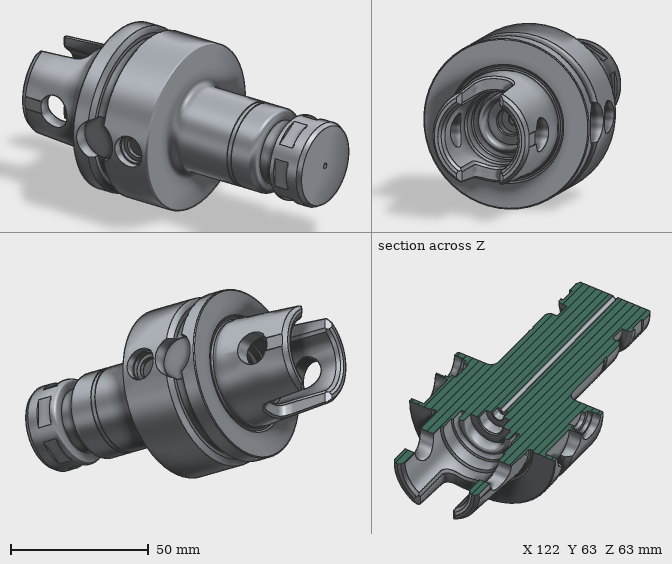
import cadquery as cq
import math

total_length = 122.0

tip_radius = 17.3
taper_start_radius = 18.4
taper_end_radius = 20.1
tip_chamfer_length = 2.0
taper_end_x = 30.4
relief_radius = 19.9
relief_start_x = 31.4
relief_flare_radius = 20.5

flange_radius = 63.0 / 2
flange_front_x = 32.1
flange_back_x = 65.0
flange_front_chamfer = 0.4
flange_back_round = 0.7
face_recess_outer_radius = 22.0
face_recess_depth = 0.7

groove_center_x = 41.8
groove_floor_radius = 27.7
groove_floor_width = 4.0
groove_rim_width = 7.0
groove_wall_top_radius = 29.3

body_radius = 32.0 / 2
body_fillet = 3.3
band_start_x = 89.5
band_width = 1.8
band_depth = 0.2
body_end_x = 101.5
body_end_round = 2.2

neck_radius = 24.0 / 2
nut_start_x = 107.8
nut_start_round = 1.5
nut_end_chamfer_length = 1.7
nut_end_chamfer_height = 1.0
spanner_flat_count = 6
spanner_flat_distance = 15.0
spanner_flat_start_x = 110.3
spanner_flat_length = 5.7

bore_mouth_radius = 32.0 / 2
bore_lip_radius = 14.9
bore_lip_x = 0.6
bore_radius = 13.9
bore_start_x = 2.0
bore_step_x = 25.7
bore_step_length = 0.6
bore_inner_radius = 13.0
bore_end_x = 31.7
bore_end_chamfer_length = 0.5
bore_end_radius = 12.5
pocket_floor_x = 37.8

tube_outer_radius = 11.1
tube_inner_radius = 8.7
tube_end_x = 33.0

socket_mouth_radius = 11 / 2
socket_radius = 10.0 / 2
socket_depth = 4.9
coolant_mouth_radius = 5.0 / 2
coolant_step_radius = 4.5 / 2
coolant_step_depth = 3.7
coolant_radius = 2.0 / 2

slot_half_width = 7.2
slot_end_x = 20.3
slot_corner_radius = 3.9
slot_mouth_chamfer = 1.7
slot_outer_chamfer = 0.7
slot_inner_chamfer = 0.9

cross_hole_diameter = 12.5
cross_hole_x = 15.0
keyway_width = 4.9
keyway_floor_y = 18.24

round_flat_diameter = 16.0
round_flat_floor_y = 26.2
side_hole_x = 56.7
side_hole_diameter = 12.0
side_hole_floor_y = 28.0
side_hole_step_diameter = 11.0
side_hole_step_floor_y = 26.2
side_hole_inner_diameter = 8.0
side_hole_inner_floor_y = 24.4


def shank_and_flange_outline():
    """Open half outline from the axis at the tip to the top of the flange back face."""
    floor_half = groove_floor_width / 2
    rim_half = groove_rim_width / 2
    relief_flare = relief_flare_radius - relief_radius
    recess_floor_x = flange_front_x + face_recess_depth
    return (
        cq.Workplane("XY")
        .lineTo(0, tip_radius)
        .lineTo(tip_chamfer_length, taper_start_radius)
        .lineTo(taper_end_x, taper_end_radius)
        .lineTo(relief_start_x, relief_radius)
        .lineTo(recess_floor_x - relief_flare, relief_radius)
        .lineTo(recess_floor_x, relief_flare_radius)
        .lineTo(recess_floor_x, face_recess_outer_radius - face_recess_depth)
        .lineTo(flange_front_x, face_recess_outer_radius)
        .lineTo(flange_front_x, flange_radius - flange_front_chamfer)
        .lineTo(flange_front_x + flange_front_chamfer, flange_radius)
        .lineTo(groove_center_x - rim_half, flange_radius)
        .lineTo(groove_center_x - floor_half, groove_wall_top_radius)
        .lineTo(groove_center_x - floor_half, groove_floor_radius)
        .lineTo(groove_center_x + floor_half, groove_floor_radius)
        .lineTo(groove_center_x + floor_half, groove_wall_top_radius)
        .lineTo(groove_center_x + rim_half, flange_radius)
        .lineTo(flange_back_x - flange_back_round, flange_radius)
        .radiusArc((flange_back_x, flange_radius - flange_back_round), flange_back_round)
    )


def outer_body():
    band_radius = body_radius - band_depth
    band_end_x = band_start_x + band_width
    outline = (
        shank_and_flange_outline()
        .lineTo(flange_back_x, body_radius + body_fillet)
        .radiusArc((flange_back_x + body_fillet, body_radius), -body_fillet)
        .lineTo(band_start_x, body_radius)
        .lineTo(band_start_x, band_radius)
        .lineTo(band_end_x, band_radius)
        .lineTo(band_end_x, body_radius)
        .lineTo(body_end_x - body_end_round, body_radius)
        .radiusArc((body_end_x, body_radius - body_end_round), body_end_round)
        .lineTo(body_end_x, neck_radius)
        .lineTo(nut_start_x, neck_radius)
        .lineTo(nut_start_x, body_radius - nut_start_round)
        .radiusArc((nut_start_x + nut_start_round, body_radius), nut_start_round)
        .lineTo(total_length - nut_end_chamfer_length, body_radius)
        .lineTo(total_length, body_radius - nut_end_chamfer_height)
        .lineTo(total_length, 0)
        .close()
    )
    return outline.revolve(360, (0, 0, 0), (1, 0, 0))


def bore():
    """Stepped bore, leaving the round-rimmed tube standing on its floor."""
    rim_radius = (tube_outer_radius - tube_inner_radius) / 2
    rim_start_x = tube_end_x + rim_radius
    rim_middle_radius = tube_inner_radius + rim_radius
    socket_chamfer = socket_mouth_radius - socket_radius
    coolant_chamfer = coolant_mouth_radius - coolant_step_radius
    socket_floor_x = pocket_floor_x + socket_depth
    coolant_step_x = socket_floor_x + coolant_step_depth
    outline = (
        cq.Workplane("XY")
        .lineTo(0, bore_mouth_radius)
        .lineTo(bore_lip_x, bore_lip_radius)
        .lineTo(bore_start_x, bore_radius)
        .lineTo(bore_step_x, bore_radius)
        .lineTo(bore_step_x + bore_step_length, bore_inner_radius)
        .lineTo(bore_end_x, bore_inner_radius)
        .lineTo(bore_end_x + bore_end_chamfer_length, bore_end_radius)
        .lineTo(pocket_floor_x, bore_end_radius)
        .lineTo(pocket_floor_x, tube_outer_radius)
        .lineTo(rim_start_x, tube_outer_radius)
        .threePointArc((tube_end_x, rim_middle_radius), (rim_start_x, tube_inner_radius))
        .lineTo(pocket_floor_x, tube_inner_radius)
        .lineTo(pocket_floor_x, socket_mouth_radius)
        .lineTo(pocket_floor_x + socket_chamfer, socket_radius)
        .lineTo(socket_floor_x, socket_radius)
        .lineTo(socket_floor_x, coolant_mouth_radius)
        .lineTo(socket_floor_x + coolant_chamfer, coolant_step_radius)
        .lineTo(coolant_step_x, coolant_step_radius)
        .lineTo(coolant_step_x, coolant_radius)
        .lineTo(total_length, coolant_radius)
        .lineTo(total_length, 0)
        .close()
    )
    return outline.revolve(360, (0, 0, 0), (1, 0, 0))


def drive_slots():
    """Round-cornered slot with a flared mouth, passing through both Z sides of the shank."""
    mouth_half_width = slot_half_width + slot_mouth_chamfer
    corner_start_x = slot_end_x - slot_corner_radius
    floor_half_width = slot_half_width - slot_corner_radius
    return (
        cq.Workplane("XY")
        .moveTo(0, -mouth_half_width)
        .lineTo(slot_mouth_chamfer, -slot_half_width)
        .lineTo(corner_start_x, -slot_half_width)
        .radiusArc((slot_end_x, -floor_half_width), -slot_corner_radius)
        .lineTo(slot_end_x, floor_half_width)
        .radiusArc((corner_start_x, slot_half_width), -slot_corner_radius)
        .lineTo(slot_mouth_chamfer, slot_half_width)
        .lineTo(0, mouth_half_width)
        .close()
        .extrude(flange_radius, both=True)
    )


def chamfer_slot_edges(body, inside_radius, outside_radius, size):
    """Break the slot edges whose distance from the axis lies between the two radii."""
    tolerance = 0.01
    edges = []
    for edge in body.edges().vals():
        middle = edge.positionAt(0.5)
        along_slot = slot_mouth_chamfer + 0.6 < middle.x < slot_end_x + tolerance
        within_width = abs(middle.y) < slot_half_width + tolerance
        if along_slot and within_width and inside_radius < math.hypot(middle.y, middle.z) < outside_radius:
            edges.append(edge)
    return body.newObject(edges).chamfer(size)


def blind_hole(side, center_x, diameter, floor_y):
    """Flat-bottomed cutter along Y, from outside the flange to floor_y on the given side."""
    outward = cq.Vector(0, side, 0)
    start = cq.Vector(center_x, side * floor_y, 0)
    return cq.Workplane(cq.Solid.makeCylinder(diameter / 2, flange_radius, start, outward))


def keyway(side):
    """Shallow flat-floored keyway from the shank tip to the cross hole."""
    depth = flange_radius - keyway_floor_y
    center_y = side * (keyway_floor_y + depth / 2)
    return cq.Workplane("XY").box(cross_hole_x, depth, keyway_width).translate((cross_hole_x / 2, center_y, 0))


def spanner_flats():
    depth = body_radius - spanner_flat_distance
    flat = cq.Workplane("XY").box(spanner_flat_length, 2 * depth, 2 * body_radius)
    flat = flat.translate((spanner_flat_start_x + spanner_flat_length / 2, spanner_flat_distance + depth, 0))
    cutters = cq.Workplane("XY")
    for index in range(spanner_flat_count):
        angle = index * 360 / spanner_flat_count
        cutters = cutters.add(flat.rotate((0, 0, 0), (1, 0, 0), angle))
    return cutters.combine()


result = outer_body().cut(bore())
result = result.cut(drive_slots())
wall_middle_radius = (bore_radius + taper_start_radius) / 2
result = chamfer_slot_edges(result, wall_middle_radius, flange_radius, slot_outer_chamfer)
result = chamfer_slot_edges(result, 0, wall_middle_radius, slot_inner_chamfer)

for side in (-1, 1):
    result = result.cut(blind_hole(side, cross_hole_x, cross_hole_diameter, 0))
    result = result.cut(keyway(side))
    result = result.cut(blind_hole(side, groove_center_x, round_flat_diameter, round_flat_floor_y))
    result = result.cut(blind_hole(side, side_hole_x, side_hole_diameter, side_hole_floor_y))
    result = result.cut(blind_hole(side, side_hole_x, side_hole_step_diameter, side_hole_step_floor_y))
    result = result.cut(blind_hole(side, side_hole_x, side_hole_inner_diameter, side_hole_inner_floor_y))

result = result.cut(spanner_flats())